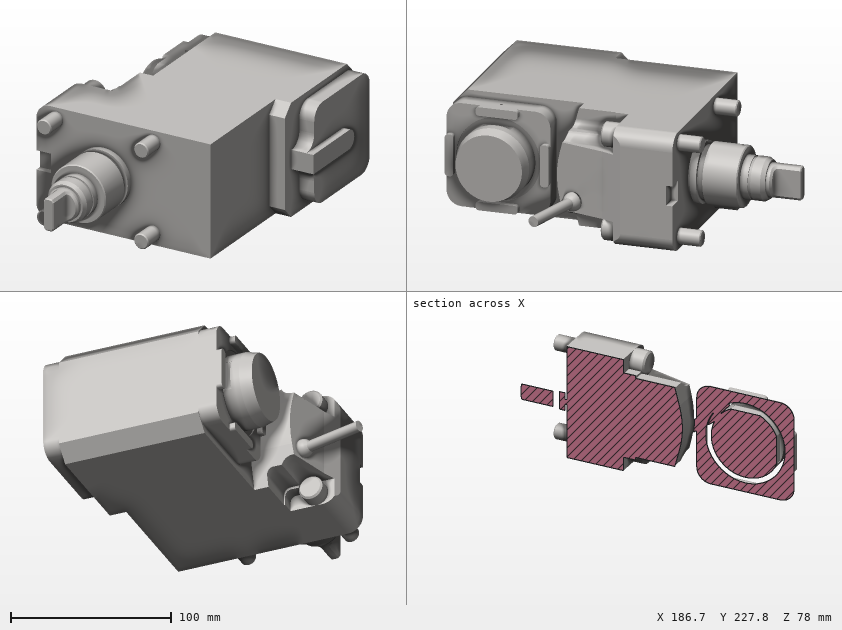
import cadquery as cq
import math

LEAN = math.radians(15)
OVERALL_LENGTH = 227.8

HALF_HEIGHT = 39.0
LOWER_LEFT, LOWER_RIGHT = -49.2, 76.5
UPPER_LEFT, UPPER_RIGHT = -7.3, 87.7
BACK_Y = 158.8
SHOULDER_Y = 72.5
CORNER_RADIUS = 10.0
BACK_CHAMFER = 9.8
SHOULDER_CHAMFER = 7.7
CREST_RADIUS = 59.2
CREST_Y = SHOULDER_Y + HALF_HEIGHT * math.tan(LEAN)
FLANK_LOW_Y, FLANK_MID_Y = 34.5, 48.0
FLANK_MID_X = -44.0
KEYWAY_DEPTH, KEYWAY_LENGTH, KEY_WIDTH = 4.3, 10.5, 13.2

SCREW_X, SCREW_Z = 35.0, 31.0
SCREW_DIAMETER, SCREW_REACH, SCREW_CHAMFER = 10.5, 15.0, 0.7
HEAD_DIAMETER, HEAD_HEIGHT, HEAD_CHAMFER = 16, 10.0, 1.1
SEAT_Y = 39.6
POCKET_STEP_Y = 48.0
POCKET_RADIUS = 8.7
HEAD_POCKET_WALL_X, HEAD_POCKET_LEDGE_Z, HEAD_POCKET_CORNER = -17.5, 28.7, 4.0
REAR_POCKET_WALL_X, REAR_POCKET_LEDGE_Z, REAR_POCKET_CORNER = -16.9, 27.0, 4.5

PLATE_Y = 124.5
PLATE_HALF = BACK_Y - PLATE_Y
LEFT_PLATE_FACE = -19.5
RIGHT_PLATE_FACE = 98.5
KEY_FACE = 103.5
KEY_FLARE = 9.5
TAB_LENGTH, TAB_WIDTH, TAB_HEIGHT, TAB_RADIUS = 27.8, 5.7, 3.6, 2.3
CAP_DIAMETER, CAP_TIP_DIAMETER = 48.0, 43.7
CAP_TAPER_X, CAP_FACE = -30.5, -38.3
CAP_RECESS_DIAMETER, CAP_RECESS_DEPTH = 55.1, 1.0
CAP_NOTCH_WIDTH, CAP_NOTCH_DEPTH, CAP_NOTCH_X = 19.5, 2.3, -24.4
PIN_HOLE_DIAMETER, PIN_HOLE_DEPTH, PIN_HOLE_X = 2.1, 4.5, -13.7

PILOT_RADIUS, PILOT_END_Y = 20.0, -5.5
RELIEF_DEPTH, RELIEF_Y = 1.0, -1.4
GROOVE_RADIUS, GROOVE_END_Y = 17.5, -9.5
COLLAR_RADIUS, COLLAR_END_Y, COLLAR_CHAMFER = 19.8, -32.3, 0.7
NOSE_RADIUS, NOSE_TAPER_Y = 14.1, -45.5
NOSE_END_RADIUS, NOSE_END_Y = 12.5, -48.3
RING_RADIUS, RING_START_Y, RING_END_Y = 13.5, -37.4, -39.2
TIP_Y = BACK_Y - OVERALL_LENGTH
TANG_WIDTH, TANG_BASE_Y, TANG_FILLET = 7.5, -52.0, 2.5
TANG_DIAMETER = 22.0
TANG_CHAMFER, TIP_CHAMFER, BASE_CHAMFER = 1.4, 0.7, 1.1

CABLE_DIAMETER, CABLE_LENGTH = 7.0, 45.3
CABLE_Y, CABLE_Z = 68.5, -14.8
GLAND_RADIUS, GLAND_OFFSET = 6.2, 1.1


def box(x0, x1, y0, y1, z0, z1):
    """Box between two opposite corners."""
    return cq.Workplane("XY").box(x1 - x0, y1 - y0, z1 - z0, centered=False).translate((x0, y0, z0))


def rod(x, z, y0, y1, diameter):
    """Cylinder along Y."""
    return cq.Workplane("XZ", origin=(x, y0, z)).circle(diameter / 2).extrude(y0 - y1)


def flank_x(y):
    """X of the leaning left flank at a given Y."""
    return FLANK_MID_X + (y - FLANK_MID_Y) * math.tan(LEAN)


def lower_block():
    """Mounting block with a leaning left flank and a crowned rear end."""
    side = [(0, -HALF_HEIGHT), (SHOULDER_Y, -HALF_HEIGHT), (CREST_Y, 0), (SHOULDER_Y, HALF_HEIGHT),
            (0, HALF_HEIGHT)]
    block = cq.Workplane("YZ", origin=(LOWER_LEFT, 0, 0)).polyline(side).close()
    block = block.extrude(LOWER_RIGHT - LOWER_LEFT)
    block = block.edges("|X and >Y").fillet(CREST_RADIUS)
    block = block.edges("|Y and <X").fillet(CORNER_RADIUS)
    plan = [(LOWER_LEFT, 0), (LOWER_RIGHT, 0), (LOWER_RIGHT, CREST_Y), (flank_x(CREST_Y), CREST_Y),
            (FLANK_MID_X, FLANK_MID_Y), (LOWER_LEFT, FLANK_LOW_Y)]
    flanks = cq.Workplane("XY").polyline(plan).close().extrude(HALF_HEIGHT, both=True)
    keyway = box(LOWER_LEFT, LOWER_LEFT + KEYWAY_LENGTH, 0, KEYWAY_DEPTH, -KEY_WIDTH / 2, KEY_WIDTH / 2)
    return block.intersect(flanks).cut(keyway)


def upper_block():
    """Gear housing, chamfered along its rear edges and the front edges of its right shoulder."""
    block = box(UPPER_LEFT, UPPER_RIGHT, SHOULDER_Y, BACK_Y, -HALF_HEIGHT, HALF_HEIGHT)
    block = block.edges("|X and >Y").chamfer(BACK_CHAMFER)
    block = block.edges("|X and <Y").chamfer(SHOULDER_CHAMFER)
    core = box(UPPER_LEFT, LOWER_RIGHT, SHOULDER_Y, PLATE_Y, -HALF_HEIGHT, HALF_HEIGHT)
    return block.union(core)


def pocket(y0, y1, wall_x, ledge_z, ledge_radius):
    """Open pocket over the upper left screw: round trough, flat ledge and round corner up to a wall."""
    axis_x = -SCREW_X
    drop = SCREW_Z - ledge_z
    trough_x = axis_x + math.sqrt(POCKET_RADIUS**2 - drop**2)
    half_angle = math.acos(drop / POCKET_RADIUS) / 2
    trough_mid = (axis_x + POCKET_RADIUS * math.sin(half_angle),
                  SCREW_Z - POCKET_RADIUS * math.cos(half_angle))
    corner_rise = ledge_radius * (1 - math.cos(math.pi / 4))
    corner_mid = (wall_x - corner_rise, ledge_z + corner_rise)
    profile = (
        cq.Workplane("XZ", origin=(0, y0, 0))
        .moveTo(LOWER_LEFT, SCREW_Z - POCKET_RADIUS)
        .lineTo(axis_x, SCREW_Z - POCKET_RADIUS)
        .threePointArc(trough_mid, (trough_x, ledge_z))
        .lineTo(wall_x - ledge_radius, ledge_z)
        .threePointArc(corner_mid, (wall_x, ledge_z + ledge_radius))
        .lineTo(wall_x, HALF_HEIGHT)
        .lineTo(LOWER_LEFT, HALF_HEIGHT)
        .close()
    )
    return profile.extrude(y0 - y1)


def screw_pockets():
    """Pockets over both left screws, slightly roomier behind the screw heads."""
    head_part = pocket(SEAT_Y, POCKET_STEP_Y, HEAD_POCKET_WALL_X, HEAD_POCKET_LEDGE_Z, HEAD_POCKET_CORNER)
    rear_part = pocket(POCKET_STEP_Y, CREST_Y, REAR_POCKET_WALL_X, REAR_POCKET_LEDGE_Z, REAR_POCKET_CORNER)
    upper = head_part.union(rear_part)
    return upper.union(upper.mirror("XY"))


def screws():
    """Four screw ends on the mounting face and the two heads in the left pockets."""
    parts = cq.Workplane("XY")
    for z in (-SCREW_Z, SCREW_Z):
        for x in (-SCREW_X, SCREW_X):
            shank = rod(x, z, -SCREW_REACH, SEAT_Y, SCREW_DIAMETER)
            parts = parts.union(shank.faces("<Y").chamfer(SCREW_CHAMFER))
        head = rod(-SCREW_X, z, SEAT_Y, SEAT_Y + HEAD_HEIGHT, HEAD_DIAMETER)
        parts = parts.union(head.faces(">Y").chamfer(HEAD_CHAMFER))
    return parts


def end_plate(x0, x1):
    """Square plate with round corners, standing on a side face of the gear housing."""
    plate = box(x0, x1, PLATE_Y - PLATE_HALF, BACK_Y, -PLATE_HALF, PLATE_HALF)
    return plate.edges("|X").fillet(CORNER_RADIUS)


def tabs():
    """Four raised tabs at the middles of the left plate's edges."""
    tab = box(LEFT_PLATE_FACE - TAB_HEIGHT, LEFT_PLATE_FACE, PLATE_Y - TAB_LENGTH / 2,
              PLATE_Y + TAB_LENGTH / 2, PLATE_HALF - TAB_WIDTH, PLATE_HALF)
    tab = tab.edges("|X").fillet(TAB_RADIUS)
    parts = cq.Workplane("XY")
    for turn in range(4):
        parts = parts.union(tab.rotate((0, PLATE_Y, 0), (1, PLATE_Y, 0), 90 * turn))
    return parts


def cap():
    """Round cap on the left plate with a tapered rim and notches on its upper and rear sides."""
    floor_x = LEFT_PLATE_FACE + CAP_RECESS_DEPTH
    profile = [(floor_x, 0), (floor_x, CAP_DIAMETER / 2), (CAP_TAPER_X, CAP_DIAMETER / 2),
               (CAP_FACE, CAP_TIP_DIAMETER / 2), (CAP_FACE, 0)]
    body = cq.Workplane("XY").polyline(profile).close().revolve(360, (0, 0, 0), (1, 0, 0))
    notch = box(CAP_NOTCH_X, floor_x, -CAP_NOTCH_WIDTH / 2, CAP_NOTCH_WIDTH / 2,
                CAP_DIAMETER / 2 - CAP_NOTCH_DEPTH, CAP_DIAMETER / 2)
    body = body.cut(notch).cut(notch.rotate((0, 0, 0), (1, 0, 0), -90))
    return body.translate((0, PLATE_Y, 0))


def left_plate():
    """Left end plate with its recess, cap, tabs and pin hole."""
    plate = end_plate(LEFT_PLATE_FACE, UPPER_LEFT)
    recess = cq.Workplane("YZ", origin=(LEFT_PLATE_FACE, PLATE_Y, 0))
    recess = recess.circle(CAP_RECESS_DIAMETER / 2).extrude(CAP_RECESS_DEPTH)
    pin_hole = cq.Workplane("XY", origin=(PIN_HOLE_X, PLATE_Y, PLATE_HALF - PIN_HOLE_DEPTH))
    pin_hole = pin_hole.circle(PIN_HOLE_DIAMETER / 2).extrude(PIN_HOLE_DEPTH)
    return plate.cut(recess).cut(pin_hole).union(cap()).union(tabs())


def right_plate():
    """Right end plate with a long key that flares into its front edge and has a round rear end."""
    plate = end_plate(UPPER_RIGHT, RIGHT_PLATE_FACE)
    front_y = PLATE_Y - PLATE_HALF
    tip_y = front_y - KEY_FLARE
    half_key = KEY_WIDTH / 2
    half_flare = half_key + KEY_FLARE
    root = box(UPPER_RIGHT, RIGHT_PLATE_FACE, tip_y, front_y, -half_flare, half_flare)
    for side in (-1, 1):
        flare = cq.Workplane("YZ", origin=(UPPER_RIGHT, tip_y, side * half_flare))
        root = root.cut(flare.circle(KEY_FLARE).extrude(RIGHT_PLATE_FACE - UPPER_RIGHT))
    key = box(UPPER_RIGHT, KEY_FACE, tip_y, PLATE_Y, -half_key, half_key)
    key_end = cq.Workplane("YZ", origin=(UPPER_RIGHT, PLATE_Y, 0))
    key_end = key_end.circle(half_key).extrude(KEY_FACE - UPPER_RIGHT)
    return plate.union(root).union(key).union(key_end)


def spindle():
    """Turned spindle: pilot, groove, collar and nose, ending in a flat tang."""
    outline = [
        (0, 0),
        (PILOT_RADIUS - RELIEF_DEPTH, 0),
        (PILOT_RADIUS - RELIEF_DEPTH, RELIEF_Y),
        (PILOT_RADIUS, RELIEF_Y),
        (PILOT_RADIUS, PILOT_END_Y),
        (GROOVE_RADIUS, PILOT_END_Y),
        (GROOVE_RADIUS, GROOVE_END_Y),
        (COLLAR_RADIUS, GROOVE_END_Y),
        (COLLAR_RADIUS, COLLAR_END_Y + COLLAR_CHAMFER),
        (COLLAR_RADIUS - COLLAR_CHAMFER, COLLAR_END_Y),
        (NOSE_RADIUS, COLLAR_END_Y),
        (NOSE_RADIUS, RING_START_Y),
        (RING_RADIUS, RING_START_Y),
        (RING_RADIUS, RING_END_Y),
        (NOSE_RADIUS, RING_END_Y),
        (NOSE_RADIUS, NOSE_TAPER_Y),
        (NOSE_END_RADIUS, NOSE_END_Y),
        (TANG_DIAMETER / 2, NOSE_END_Y),
        (TANG_DIAMETER / 2, TIP_Y),
        (0, TIP_Y),
    ]
    body = cq.Workplane("XY").polyline(outline).close().revolve(360, (0, 0, 0), (0, 1, 0))
    radius = TANG_DIAMETER / 2
    side_cut = box(TANG_WIDTH / 2, radius, TIP_Y, TANG_BASE_Y, -radius, radius)
    side_cut = side_cut.edges("|Z and >Y and <X").fillet(TANG_FILLET)
    body = body.cut(side_cut).cut(side_cut.mirror("YZ"))
    body = body.edges("|Y").chamfer(TANG_CHAMFER)
    body = body.faces("<Y").chamfer(TIP_CHAMFER)
    return body.cut(tang_base_bevel())


def tang_base_bevel():
    """Material bevelled off the round shoulder on both sides of the tang."""
    radius = TANG_DIAMETER / 2
    top_y = TANG_BASE_Y + BASE_CHAMFER
    triangle = [(radius, TANG_BASE_Y), (radius - BASE_CHAMFER, TANG_BASE_Y), (radius, top_y)]
    ring = cq.Workplane("XY").polyline(triangle).close().revolve(360, (0, 0, 0), (0, 1, 0))
    half_kept = TANG_WIDTH / 2 + TANG_FILLET
    kept = box(-half_kept, half_kept, TANG_BASE_Y, top_y, -radius, radius)
    return ring.cut(kept)


def cable():
    """Cable leaving the leaning flank at a right angle through a ball gland."""
    start = (flank_x(CABLE_Y), CABLE_Y, CABLE_Z)
    direction = (-math.cos(LEAN), math.sin(LEAN), 0)
    gland = cq.Workplane("XY").sphere(GLAND_RADIUS)
    gland = gland.translate(cq.Vector(*start) + cq.Vector(*direction) * GLAND_OFFSET)
    wire = cq.Workplane(cq.Plane(start, normal=direction, xDir=(0, 0, 1)))
    return gland.union(wire.circle(CABLE_DIAMETER / 2).extrude(CABLE_LENGTH))


housing = lower_block().cut(screw_pockets()).union(upper_block())
result = housing.union(screws()).union(left_plate()).union(right_plate()).union(spindle()).union(cable())